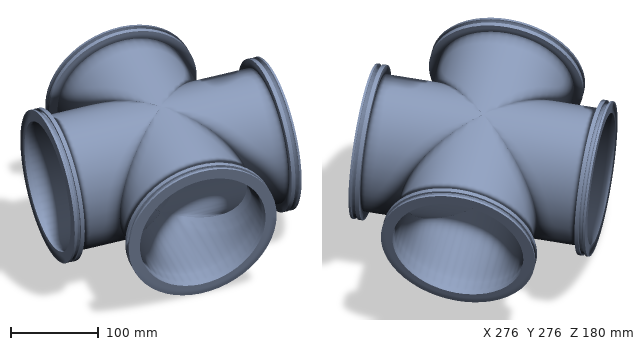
import cadquery as cq
import math

span = 276.0
arm_count = 4
arm_angle = 360 / arm_count

pipe_radius = 79.5
bore_radius = 76.5
pipe_setback = 6.0

flange_radius = 90.0
flange_thickness = 12.1
rear_rim_width = 4.7
front_rim_width = 2.5
groove_depth = 2.5

face_position = span / 2
pipe_end = face_position - pipe_setback


def make_pipe():
    """Pipe arm along +X, mitred on both sides to meet its neighbours at the centre."""
    tube = cq.Workplane("YZ").circle(pipe_radius).circle(bore_radius).extrude(pipe_end)
    half_mitre_width = pipe_end * math.tan(math.radians(arm_angle / 2))
    wedge = (
        cq.Workplane("XY")
        .polyline([(0, 0), (pipe_end, -half_mitre_width), (pipe_end, half_mitre_width)])
        .close()
        .extrude(flange_radius, both=True)
    )
    return tube.intersect(wedge)


def make_flange():
    """Grooved flange on the +X arm, with a socket in its back for the pipe end."""
    back = face_position - flange_thickness
    groove_start = back + rear_rim_width
    groove_end = face_position - front_rim_width
    floor_radius = flange_radius - groove_depth
    curve_start = groove_end - groove_depth

    profile = (
        cq.Workplane("XY")
        .moveTo(back, pipe_radius)
        .lineTo(back, flange_radius)
        .lineTo(groove_start, flange_radius)
        .lineTo(groove_start, floor_radius)
        .lineTo(curve_start, floor_radius)
        .tangentArcPoint((groove_end, flange_radius), relative=False)
        .lineTo(face_position, flange_radius)
        .lineTo(face_position, bore_radius)
        .lineTo(pipe_end, bore_radius)
        .lineTo(pipe_end, pipe_radius)
        .close()
    )
    return profile.revolve(360, (0, 0, 0), (1, 0, 0))


def around_cross(body):
    """One separate copy of a +X body for each arm of the cross."""
    return [
        body.rotate((0, 0, 0), (0, 0, 1), arm * arm_angle).val()
        for arm in range(arm_count)
    ]


pipes = around_cross(make_pipe())
flanges = around_cross(make_flange())

result = cq.Compound.makeCompound([*pipes, *flanges])